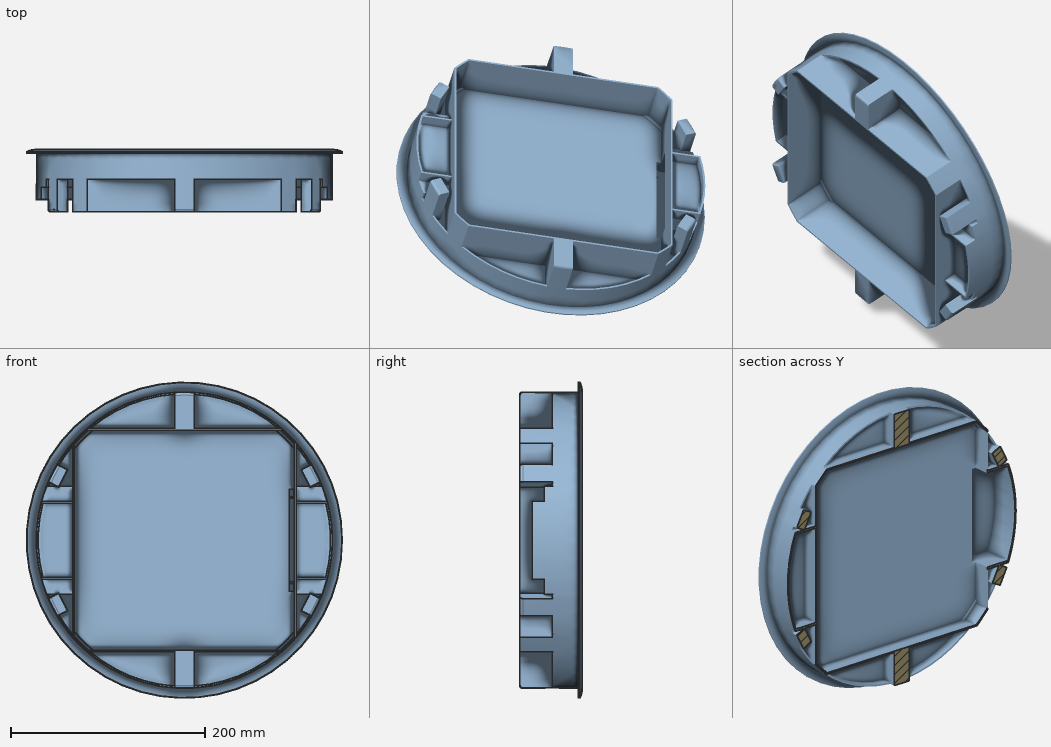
import cadquery as cq
import math


flange_radius = 162.5
flange_depth = 4.0
cover_face_depth = 5.0
flange_round_width = 10.0
flange_round_depth = 2.45
front_depth = 64.5

wall = 2.0
tube_outer_radius = 152.5
tube_inner_radius = tube_outer_radius - wall
tube_edge_depth = 31.0
box_outer_half = 115.0
box_inner_half = box_outer_half - wall

web_back_depth = 19.2
web_front_depth = 20.8
web_opening_radius = 147.2

lug_half_width = 10.0
lug_fillet = 3.0
clip_inner_distance = 140.0
clip_angle = 27.0

deck_half_height = 55.5
deck_depth = 39.0
deck_wall_depth = 51.7
deck_wall_outer = 40.0
deck_wall_inner = deck_wall_outer - wall
chamber_half_height = 52.5
chamber_front_depth = deck_depth - wall

notch_edge = 108.0
pad_end = 112.5
pad_inner_half = 43.0
pad_height = 1.5
ridge_height = 3.2


def layer(back, front):
    """Return a workplane at the back depth, and the thickness up to the front depth."""
    return cq.Workplane("XZ", origin=(0, -back, 0)), front - back


def disc(radius, back, front):
    plane, thickness = layer(back, front)
    return plane.circle(radius).extrude(thickness)


def block(x_min, x_max, z_half, back, front):
    plane, thickness = layer(back, front)
    outline = plane.center((x_min + x_max) / 2, 0).rect(x_max - x_min, 2 * z_half)
    return outline.extrude(thickness)


def lug(inner_distance, angle):
    """Radial block from the web to the front; the tube outline trims its outer end."""
    bar = block(inner_distance, flange_radius, lug_half_width, web_back_depth, front_depth)
    return bar.rotate((0, 0, 0), (0, -1, 0), angle)


def side_deck():
    """Deck on the +X side with two cross walls and a curved outer wall on its front."""
    deck = block(box_inner_half, flange_radius, deck_half_height, web_back_depth, deck_depth)
    raised = block(box_inner_half, flange_radius, deck_wall_outer, web_back_depth, deck_wall_depth)
    recess = block(box_outer_half, flange_radius, deck_wall_inner, deck_depth, deck_wall_depth)
    recess = recess.intersect(disc(tube_inner_radius, deck_depth, deck_wall_depth))
    return deck.union(raised).cut(recess)


def chamber(x_min):
    """Hollow under the +X deck, starting at the given X and ending at the tube wall."""
    hollow = block(x_min, flange_radius, chamber_half_height, web_back_depth, chamber_front_depth)
    return hollow.intersect(disc(tube_inner_radius, web_back_depth, chamber_front_depth))


def round_lugs(body):
    """Round the outer front edge of every rib and clip, leaving the box corners sharp."""
    corner_clearance = 16.2
    near_rim = tube_outer_radius - lug_fillet

    def is_lug_edge(edge):
        middle = edge.Center()
        on_rim = math.hypot(middle.x, middle.z) > near_rim
        return on_rim and abs(abs(middle.x) - abs(middle.z)) > corner_clearance

    rim_edges = body.faces("<Y").edges().vals()
    lug_edges = [edge for edge in rim_edges if is_lug_edge(edge)]
    return body.newObject(lug_edges).fillet(lug_fillet)


def build_housing():
    body = disc(flange_radius, flange_depth, tube_edge_depth)
    body = body.cut(disc(tube_inner_radius, flange_depth, web_back_depth))
    body = body.cut(disc(tube_inner_radius, web_front_depth, tube_edge_depth))
    body = body.union(block(-box_outer_half, box_outer_half, box_outer_half, web_back_depth, front_depth))

    for angle in (90, 270):
        body = body.union(lug(box_inner_half, angle))
    for angle in (clip_angle, 180 - clip_angle, 180 + clip_angle, -clip_angle):
        body = body.union(lug(clip_inner_distance, angle))

    deck = side_deck()
    body = body.union(deck).union(deck.mirror("YZ"))

    body = round_lugs(body.intersect(disc(tube_outer_radius, flange_depth, front_depth)))

    inside = block(-box_inner_half, box_inner_half, box_inner_half, web_back_depth, front_depth)
    body = body.cut(inside.intersect(disc(tube_inner_radius, web_front_depth, front_depth)))
    body = body.cut(inside.intersect(disc(web_opening_radius, web_back_depth, web_front_depth)))

    body = body.cut(chamber(notch_edge))
    return body.cut(chamber(box_outer_half).mirror("YZ"))


def build_floor_panel():
    panel = disc(tube_inner_radius, cover_face_depth, web_back_depth)
    notch = block(notch_edge, flange_radius, chamber_half_height, cover_face_depth, web_back_depth)
    return panel.cut(notch)


def build_cover():
    """Back cover with a rounded rim, a raised front face and a stepped pad at each notch end."""
    profile = (
        cq.Workplane("XY")
        .lineTo(flange_radius - flange_round_width, 0)
        .tangentArcPoint((flange_radius, -flange_round_depth), relative=False)
        .lineTo(flange_radius, -flange_depth)
        .lineTo(0, -flange_depth)
        .close()
    )
    body = profile.revolve(360, (0, 0, 0), (0, 1, 0))
    body = body.union(disc(tube_inner_radius, flange_depth, cover_face_depth))

    ridge_outer_half = pad_inner_half + wall
    for z_outer, height in ((chamber_half_height, pad_height), (ridge_outer_half, ridge_height)):
        front = cover_face_depth + height
        pads = block(notch_edge, pad_end, z_outer, cover_face_depth, front)
        pads = pads.cut(block(notch_edge, pad_end, pad_inner_half, cover_face_depth, front))
        body = body.union(pads)
    return body


housing = build_housing()
floor_panel = build_floor_panel()
cover = build_cover()

result = cq.Compound.makeCompound([housing.val(), floor_panel.val(), cover.val()])